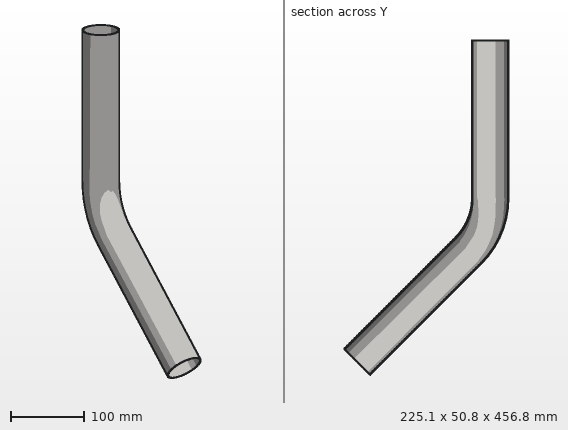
import cadquery as cq
import math

outer_diameter = 50.8
inner_diameter = 47.8
straight_length = 215.0
bend_radius = 2 * outer_diameter
bend_angle = 45.0


def bend_point(angle):
    """Centreline point in XZ after turning through the given angle from the vertical leg."""
    turn = math.radians(angle)
    return bend_radius * (1 - math.cos(turn)), -bend_radius * math.sin(turn)


def centreline():
    """Vertical leg down to the origin, elbow toward +X, then the sloping leg."""
    bend_end_x, bend_end_z = bend_point(bend_angle)
    slope = math.radians(bend_angle)
    leg_end = (
        bend_end_x + straight_length * math.sin(slope),
        bend_end_z - straight_length * math.cos(slope),
    )
    return (
        cq.Workplane("XZ")
        .moveTo(0, straight_length)
        .lineTo(0, 0)
        .threePointArc(bend_point(bend_angle / 2), (bend_end_x, bend_end_z))
        .lineTo(*leg_end)
    )


def tube():
    """Ring section swept along the centreline, open at both ends."""
    return (
        cq.Workplane("XY")
        .workplane(offset=straight_length)
        .circle(outer_diameter / 2)
        .circle(inner_diameter / 2)
        .sweep(centreline())
    )


result = tube()